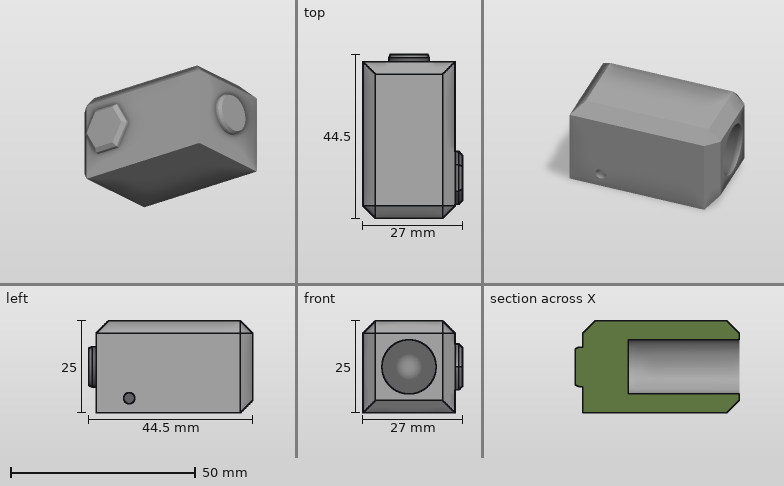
import cadquery as cq

BLOCK_WIDTH = 25.0
BLOCK_LENGTH = 42.5
BLOCK_HEIGHT = 25.0
BLOCK_CHAMFER = 3.4

BORE_DIAMETER = 14.7
BORE_DEPTH = 30.0

BOSS_DIAMETER = 11.0
BOSS_HEIGHT = 2.0
BOSS_RIM_LENGTH = 1.0
BOSS_RIM_INSET = 0.45

HEX_CORNER_DIAMETER = 14.4
HEX_HEIGHT = 2.0
HEX_CHAMFER = 1.0
HEX_FROM_FRONT = 11.0

SIDE_HOLE_DIAMETER = 3.0
SIDE_HOLE_DEPTH = 5.0
SIDE_HOLE_FROM_BACK = 9.0
SIDE_HOLE_FROM_BOTTOM = 4.0

FRONT_Y = -BLOCK_LENGTH / 2
BACK_Y = BLOCK_LENGTH / 2
LEFT_X = -BLOCK_WIDTH / 2
RIGHT_X = BLOCK_WIDTH / 2
BOTTOM_Z = -BLOCK_HEIGHT / 2


def make_block():
    """Box with every edge of its top and front faces chamfered."""
    box = cq.Workplane("XY").box(BLOCK_WIDTH, BLOCK_LENGTH, BLOCK_HEIGHT)
    return box.faces(">Z or <Y").edges().chamfer(BLOCK_CHAMFER)


def make_bore():
    """Blind round bore running from the front face toward +Y."""
    front = cq.Plane(origin=(0, FRONT_Y, 0), xDir=(1, 0, 0), normal=(0, 1, 0))
    return cq.Workplane(front).circle(BORE_DIAMETER / 2).extrude(BORE_DEPTH)


def make_round_boss():
    """Round boss on the back face, narrowing at its outer rim."""
    back = cq.Plane(origin=(0, BACK_Y, 0), xDir=(1, 0, 0), normal=(0, 1, 0))
    boss = cq.Workplane(back).circle(BOSS_DIAMETER / 2).extrude(BOSS_HEIGHT)
    return boss.faces(">Y").edges().chamfer(BOSS_RIM_LENGTH, BOSS_RIM_INSET)


def make_hex_boss():
    """Hexagonal boss on the +X face with a chamfered outer rim."""
    center = (RIGHT_X, FRONT_Y + HEX_FROM_FRONT, 0)
    side = cq.Plane(origin=center, xDir=(0, 1, 0), normal=(1, 0, 0))
    boss = cq.Workplane(side).polygon(6, HEX_CORNER_DIAMETER).extrude(HEX_HEIGHT)
    return boss.faces(">X").edges().chamfer(HEX_CHAMFER)


def make_side_hole():
    """Small blind hole running from the -X face toward +X."""
    center = (LEFT_X, BACK_Y - SIDE_HOLE_FROM_BACK, BOTTOM_Z + SIDE_HOLE_FROM_BOTTOM)
    side = cq.Plane(origin=center, xDir=(0, 1, 0), normal=(1, 0, 0))
    return cq.Workplane(side).circle(SIDE_HOLE_DIAMETER / 2).extrude(SIDE_HOLE_DEPTH)


result = (
    make_block()
    .union(make_round_boss())
    .union(make_hex_boss())
    .cut(make_bore())
    .cut(make_side_hole())
)